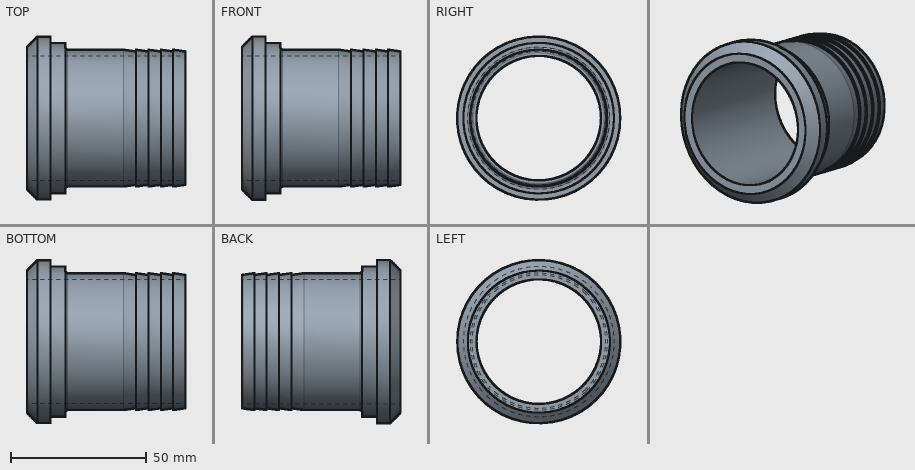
import cadquery as cq


bore_radius = 46.0 / 2
barrel_radius = 50.8 / 2
collar_radius = 55.75 / 2
flange_radius = 60.45 / 2

total_length = 58.75
flange_end = 8.8
collar_end = 14.25
flange_chamfer = 3.9

barb_count = 5
barb_pitch = 4.6
barb_depth = 0.65
barbs_start = total_length - barb_count * barb_pitch

root_fillet = 0.85
tip_fillet = 0.55


def make_outer_body():
    """Revolve the outer outline, given as (axial position, radius), into a solid."""
    outline = [
        (0, 0),
        (0, flange_radius - flange_chamfer),
        (flange_chamfer, flange_radius),
        (flange_end, flange_radius),
        (flange_end, collar_radius),
        (collar_end, collar_radius),
        (collar_end, barrel_radius),
    ]
    for barb in range(barb_count):
        barb_start = barbs_start + barb * barb_pitch
        outline.append((barb_start, barrel_radius))
        outline.append((barb_start + barb_pitch, barrel_radius - barb_depth))
    outline.append((total_length, 0))
    return cq.Workplane("XY").polyline(outline).close().revolve(360, (0, 0, 0), (1, 0, 0))


def edge_circle_at(position, radius):
    """Select the circular edge of the given radius at an axial position."""
    margin = 0.05
    reach = radius + margin
    return cq.selectors.BoxSelector(
        (position - margin, -reach, -reach),
        (position + margin, reach, reach),
        boundingbox=True,
    )


body = make_outer_body()
body = body.edges(edge_circle_at(collar_end, barrel_radius)).fillet(root_fillet)
body = body.faces(">X").edges().fillet(tip_fillet)

bore = cq.Workplane("YZ").circle(bore_radius).extrude(total_length)
result = body.cut(bore)